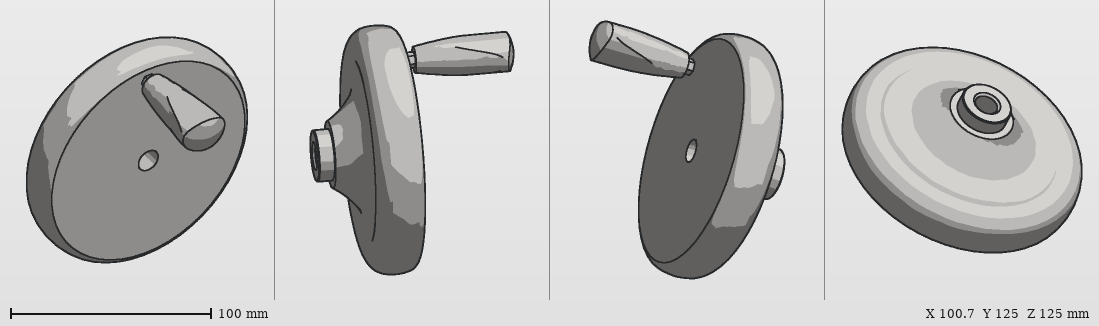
import cadquery as cq
import math

WHEEL_RADIUS = 62.5
WHEEL_BACK_X = 46.0
HUB_RADIUS = 13.0
HUB_LENGTH = 7.9
HUB_CHAMFER = 0.5
BORE_RADIUS = 5.9
BORE_CHAMFER = 1.2

FLARE_START_RADIUS = 16.9
FLARE_END_X = 20.4
FLARE_END_RADIUS = 28.1
FLARE_SAG = 0.9

RIM_FRONT_X = 22.1
RIM_INNER_RADIUS = 46.5
RIM_INNER_X = 23.2
RIM_FRONT_RADIUS = 51.9
CROWN_START_X = 28.9
CROWN_X = 35.9
CROWN_END_X = 42.4
CROWN_EDGE_DROP = 1.0
BACK_ROUND = WHEEL_BACK_X - CROWN_END_X

HANDLE_Z = 50.5
STEM_SIDES = 6
STEM_ACROSS_CORNERS = 8.1
GRIP_START_X = 50.5
GRIP_START_RADIUS = 6.6
GRIP_LOWER_X = 65.1
GRIP_LOWER_RADIUS = 9.0
GRIP_UPPER_X = 83.4
GRIP_UPPER_RADIUS = 10.9
GRIP_RIM_X = 96.2
GRIP_RIM_RADIUS = 12.5
GRIP_END_X = 100.7

OVAL_HALF_HEIGHT = 9.0
OVAL_JOIN_Y = 9.0
OVAL_JOIN_Z = 6.2


def dome_radius(half_chord, rise):
    """Radius of an arc from its half chord and its rise."""
    return (half_chord**2 + rise**2) / (2 * rise)


def make_wheel():
    """Handwheel with a stepped hub, dished front, rounded rim and flat back."""
    crown_edge_radius = WHEEL_RADIUS - CROWN_EDGE_DROP
    flare_run = FLARE_END_X - HUB_LENGTH
    flare_rise = FLARE_END_RADIUS - FLARE_START_RADIUS
    flare_chord = math.hypot(flare_run, flare_rise)
    flare_middle = (
        HUB_LENGTH + flare_run / 2 + FLARE_SAG * flare_rise / flare_chord,
        FLARE_START_RADIUS + flare_rise / 2 - FLARE_SAG * flare_run / flare_chord,
    )
    profile = (
        cq.Workplane("XY")
        .moveTo(BORE_CHAMFER, BORE_RADIUS)
        .lineTo(0, BORE_RADIUS + BORE_CHAMFER)
        .lineTo(0, HUB_RADIUS - HUB_CHAMFER)
        .lineTo(HUB_CHAMFER, HUB_RADIUS)
        .lineTo(HUB_LENGTH, HUB_RADIUS)
        .lineTo(HUB_LENGTH, FLARE_START_RADIUS)
        .threePointArc(flare_middle, (FLARE_END_X, FLARE_END_RADIUS))
        .tangentArcPoint((RIM_INNER_X, RIM_INNER_RADIUS), relative=False)
        .threePointArc((RIM_FRONT_X, RIM_FRONT_RADIUS), (CROWN_START_X, crown_edge_radius))
        .threePointArc((CROWN_X, WHEEL_RADIUS), (CROWN_END_X, crown_edge_radius))
        .tangentArcPoint((WHEEL_BACK_X, crown_edge_radius - BACK_ROUND), relative=False)
        .lineTo(WHEEL_BACK_X, BORE_RADIUS)
        .close()
    )
    return profile.revolve(360, (0, 0, 0), (1, 0, 0))


def make_grip():
    """Flared round grip with a domed end, trimmed to an oval section."""
    end_sphere_radius = dome_radius(GRIP_RIM_RADIUS, GRIP_END_X - GRIP_RIM_X)
    half_angle = math.asin(GRIP_RIM_RADIUS / end_sphere_radius) / 2
    dome_middle = (
        GRIP_END_X - end_sphere_radius * (1 - math.cos(half_angle)),
        end_sphere_radius * math.sin(half_angle),
    )
    flared = (
        cq.Workplane("XY")
        .moveTo(GRIP_START_X, 0)
        .lineTo(GRIP_START_X, GRIP_START_RADIUS)
        .spline(
            [
                (GRIP_LOWER_X, GRIP_LOWER_RADIUS),
                (GRIP_UPPER_X, GRIP_UPPER_RADIUS),
                (GRIP_RIM_X, GRIP_RIM_RADIUS),
            ],
            includeCurrent=True,
        )
        .threePointArc(dome_middle, (GRIP_END_X, 0))
        .close()
        .revolve(360, (0, 0, 0), (1, 0, 0))
    )
    oval = (
        cq.Workplane("YZ", origin=(GRIP_START_X, 0, 0))
        .moveTo(-OVAL_JOIN_Y, OVAL_JOIN_Z)
        .threePointArc((0, OVAL_HALF_HEIGHT), (OVAL_JOIN_Y, OVAL_JOIN_Z))
        .threePointArc((GRIP_RIM_RADIUS, 0), (OVAL_JOIN_Y, -OVAL_JOIN_Z))
        .threePointArc((0, -OVAL_HALF_HEIGHT), (-OVAL_JOIN_Y, -OVAL_JOIN_Z))
        .threePointArc((-GRIP_RIM_RADIUS, 0), (-OVAL_JOIN_Y, OVAL_JOIN_Z))
        .close()
        .extrude(GRIP_END_X - GRIP_START_X)
    )
    return flared.intersect(oval)


def make_handle():
    """Grip joined to a hexagonal stem that stands on the back of the wheel."""
    stem = (
        cq.Workplane("YZ", origin=(WHEEL_BACK_X, 0, 0))
        .polygon(STEM_SIDES, STEM_ACROSS_CORNERS)
        .extrude(GRIP_START_X - WHEEL_BACK_X)
    )
    return make_grip().union(stem).translate((0, 0, HANDLE_Z))


wheel = make_wheel()
handle = make_handle()
result = cq.Compound.makeCompound([wheel.val(), *handle.solids().vals()])